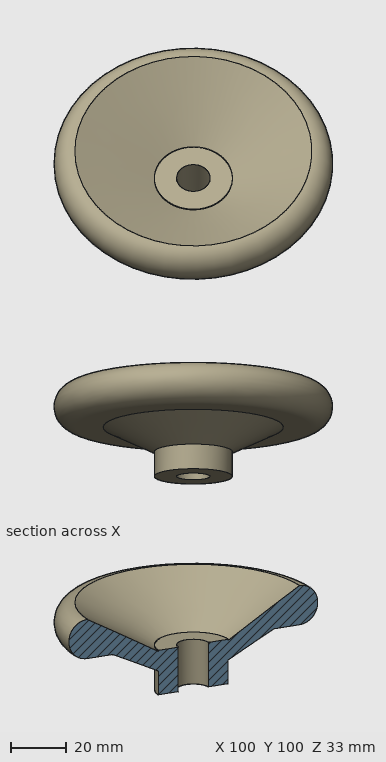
import cadquery as cq

outer_radius = 50.0
total_height = 33.0
rim_height = 15.0
hub_radius = 14.0
bore_radius = 6.0
hub_top = 17.0
dish_outer_base = 9.0
dish_inner_base = 16.6
dish_outer_radius = 32.3

rim_round = rim_height / 2
rim_inner_radius = outer_radius - rim_round
rim_bottom = total_height - rim_height
rim_middle = total_height - rim_round

section = (
    cq.Workplane("XZ")
    .moveTo(bore_radius, 0)
    .lineTo(hub_radius, 0)
    .lineTo(hub_radius, dish_outer_base)
    .lineTo(dish_outer_radius, rim_bottom)
    .lineTo(rim_inner_radius, rim_bottom)
    .threePointArc((outer_radius, rim_middle), (rim_inner_radius, total_height))
    .lineTo(hub_radius, dish_inner_base)
    .lineTo(hub_radius, hub_top)
    .lineTo(bore_radius, hub_top)
    .close()
)
result = section.revolve(360, (0, 0, 0), (0, 1, 0))